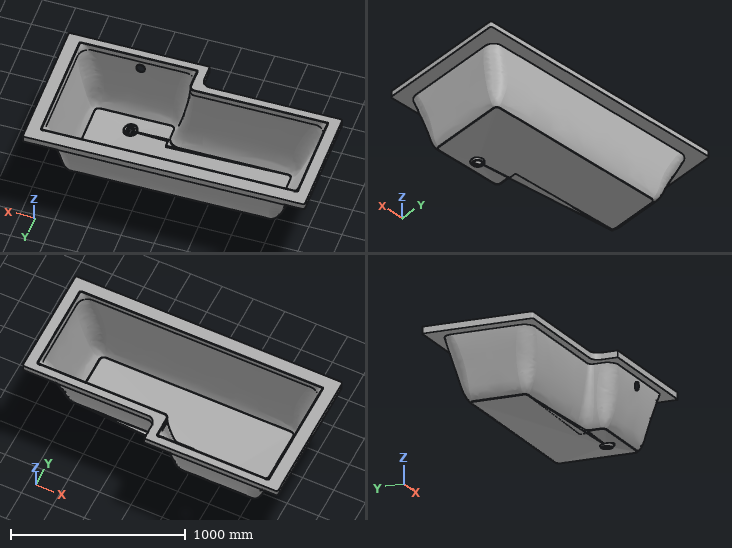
import cadquery as cq
import math


LENGTH = 1700.0
WIDTH = 850.0
NARROW_WIDTH = 697.0
RIM_HEIGHT = 43.0
RIM_CORNER_R = 12.0
RIM_NOTCH_R = 51.0

MOUTH_LEFT = -782.0
MOUTH_RIGHT = 768.0
MOUTH_BACK = 343.0
MOUTH_FRONT = -375.0
MOUTH_NOTCH_X = 55.0
MOUTH_NOTCH_Y = -223.0
WALL = 5.0

WALL_LEVELS = [
    (0.0, 0.0, 0.0, 0.0, 9.0, 25.0),
    (RIM_HEIGHT, 12.0, 10.0, 2.0, 68.0, 29.0),
    (153.0, 53.0, 39.0, 17.0, 94.0, 37.0),
    (262.0, 100.0, 73.0, 40.0, 85.0, 51.0),
    (349.0, 138.0, 97.0, 68.0, 56.0, 60.0),
    (405.0, 189.0, 133.0, 104.0, 25.0, 68.0),
]
BOWL_DEPTH, FLOOR_LEFT_INSET, FLOOR_RIGHT_INSET, FLOOR_SIDE_INSET = WALL_LEVELS[-1][:4]

DRAIN_X = 398.0
DRAIN_Y = -179.0
FLOOR_LOW_DEPTH = 425.0
TOTAL_DEPTH = 434.0
DRAIN_HOLE_R = 25.0
DRAIN_SINK_R = 39.0
DRAIN_SINK_DEPTH = 9.0
DRAIN_BOSS_TOP_R = 51.0
DRAIN_BOSS_BOTTOM_R = 32.0
OVERFLOW_R = 25.0
OVERFLOW_DEPTH = 88.0
FLOOR_BEVEL = 14.0


def rounded_outline(points, radii, z):
    """Closed wire through the corner points, each corner rounded by its own radius."""
    corners = []
    for i, (point, radius) in enumerate(zip(points, radii)):
        corner = cq.Vector(*point, z)
        before = (cq.Vector(*points[i - 1], z) - corner).normalized()
        after = (cq.Vector(*points[(i + 1) % len(points)], z) - corner).normalized()
        to_middle = (before + after).normalized()
        middle_distance = radius * (math.sqrt(2) - 1)
        corners.append((
            corner + before * radius,
            corner + to_middle * middle_distance,
            corner + after * radius,
        ))
    edges = []
    for i, (start, middle, end) in enumerate(corners):
        edges.append(cq.Edge.makeThreePointArc(start, middle, end))
        edges.append(cq.Edge.makeLine(end, corners[(i + 1) % len(corners)][0]))
    return cq.Wire.assembleEdges(edges)


def bowl_corners(left_inset, right_inset, side_inset):
    """Six corners of the bowl's L shape, counterclockwise from the front of the left end."""
    left = MOUTH_LEFT + left_inset
    right = MOUTH_RIGHT - right_inset
    back = MOUTH_BACK - side_inset
    front = MOUTH_FRONT + side_inset
    notch_x = MOUTH_NOTCH_X + side_inset
    notch_y = MOUTH_NOTCH_Y + side_inset
    return [
        (left, notch_y),
        (notch_x, notch_y),
        (notch_x, front),
        (right, front),
        (right, back),
        (left, back),
    ]


def bowl_loft(offset):
    """Solid bowl shape, with all its walls moved inward by the offset."""
    wires = []
    for depth, left, right, side, corner_r, notch_r in WALL_LEVELS:
        points = bowl_corners(left + offset, right + offset, side + offset)
        radii = [corner_r, notch_r + offset, corner_r, corner_r, corner_r, corner_r]
        wires.append(rounded_outline(points, radii, -depth))
    return cq.Workplane(obj=cq.Solid.makeLoft(wires))


def polygon_face(points):
    return cq.Face.makeFromWires(cq.Wire.makePolygon(points, close=True))


def floor_pyramid(offset, top_depth):
    """Shallow inverted pyramid that falls from the floor outline to the drain."""
    front_left, notch, front_notch, front_right, back_right, back_left = bowl_corners(
        FLOOR_LEFT_INSET + offset, FLOOR_RIGHT_INSET + offset, FLOOR_SIDE_INSET + offset)
    slope = (DRAIN_Y - front_left[1]) / (DRAIN_X - front_left[0])
    crease_y = front_left[1] + slope * (notch[0] - front_left[0])
    corner_points = [front_left, (notch[0], crease_y), front_notch, front_right, back_right, back_left]
    bevelled = [front_left, corner_points[1]]
    for i in range(2, len(corner_points)):
        corner = cq.Vector(*corner_points[i])
        for neighbour in (corner_points[i - 1], corner_points[(i + 1) % len(corner_points)]):
            toward = (cq.Vector(*neighbour) - corner).normalized()
            beside = corner + toward * FLOOR_BEVEL
            bevelled.append((beside.x, beside.y))
    top = [cq.Vector(x, y, -top_depth) for x, y in bevelled]
    drop = FLOOR_LOW_DEPTH - BOWL_DEPTH
    apex = cq.Vector(DRAIN_X, DRAIN_Y, -top_depth - drop)
    faces = [polygon_face(top)]
    for i, point in enumerate(top):
        faces.append(polygon_face([point, top[(i + 1) % len(top)], apex]))
    return cq.Workplane(obj=cq.Solid.makeSolid(cq.Shell.makeShell(faces)))


def floor_footprint():
    """Column below the mouth with the outline of the inner floor, which keeps the hollow inside the walls."""
    inset = [value + WALL for value in (FLOOR_LEFT_INSET, FLOOR_RIGHT_INSET, FLOOR_SIDE_INSET)]
    return cq.Workplane("XY").polyline(bowl_corners(*inset)).close().extrude(-TOTAL_DEPTH)


def drain_cone(top_r, bottom_r, top_depth, height):
    return cq.Workplane(obj=cq.Solid.makeCone(
        top_r, bottom_r, height, cq.Vector(DRAIN_X, DRAIN_Y, -top_depth), cq.Vector(0, 0, -1)))


def make_bowl(outer):
    boss_height = TOTAL_DEPTH - BOWL_DEPTH - WALL
    boss = drain_cone(DRAIN_BOSS_TOP_R, DRAIN_BOSS_BOTTOM_R, BOWL_DEPTH + WALL, boss_height)
    body = outer.union(floor_pyramid(0, BOWL_DEPTH)).union(boss)

    inner_floor_depth = BOWL_DEPTH - WALL
    above_floor = (
        cq.Workplane("XY")
        .box(LENGTH, WIDTH, inner_floor_depth, centered=(True, True, False))
        .translate((0, 0, -inner_floor_depth))
    )
    body = body.cut(bowl_loft(WALL).intersect(above_floor))
    body = body.cut(floor_pyramid(WALL, inner_floor_depth).intersect(floor_footprint()))

    inner_low_depth = FLOOR_LOW_DEPTH - WALL
    sink = drain_cone(DRAIN_SINK_R, DRAIN_HOLE_R, inner_low_depth - DRAIN_SINK_DEPTH / 2, DRAIN_SINK_DEPTH)
    hole = (
        cq.Workplane("XY", origin=(DRAIN_X, DRAIN_Y, -TOTAL_DEPTH))
        .circle(DRAIN_HOLE_R).extrude(TOTAL_DEPTH)
    )
    body = body.cut(sink).cut(hole)

    overflow = (
        cq.Workplane("XZ", origin=(DRAIN_X, DRAIN_Y, -OVERFLOW_DEPTH))
        .circle(OVERFLOW_R).extrude(WIDTH / 2)
    )
    return body.cut(overflow)


def make_rim(bowl_outer):
    narrow_front = WIDTH / 2 - NARROW_WIDTH
    points = [
        (-LENGTH / 2, narrow_front),
        (0, narrow_front),
        (0, -WIDTH / 2),
        (LENGTH / 2, -WIDTH / 2),
        (LENGTH / 2, WIDTH / 2),
        (-LENGTH / 2, WIDTH / 2),
    ]
    frame = cq.Workplane("XY").polyline(points).close().extrude(-RIM_HEIGHT)
    frame = frame.edges("|Z and (<X or >X)").fillet(RIM_CORNER_R)
    notch_edge = cq.selectors.NearestToPointSelector((0, narrow_front, -RIM_HEIGHT / 2))
    frame = frame.edges("|Z").edges(notch_edge).fillet(RIM_NOTCH_R)
    return frame.cut(bowl_outer)


bowl_outer = bowl_loft(0)
bowl = make_bowl(bowl_outer)
rim = make_rim(bowl_outer)

result = cq.Compound.makeCompound([rim.solids().val(), bowl.solids().val()])